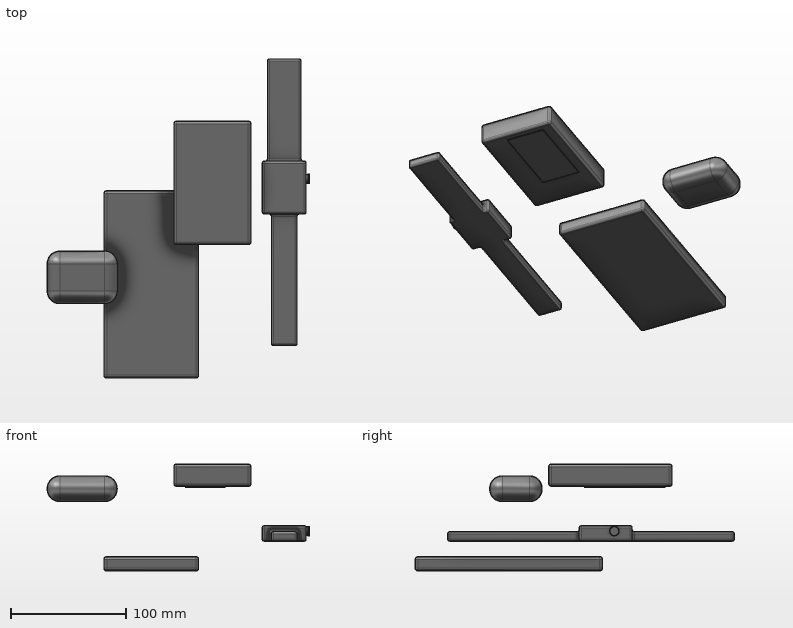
import cadquery as cq


slab_size = (82.5, 163.0, 12.5)
slab_corner = (49.5, 0, 0)

case_size = (67.2, 107.5, 19.5)
case_corner = (110.2, 116.0, 73.5)
pad_length_x = 34.7
pad_length_y = 70.2
pad_height = 0.8
pad_offset_x = 10.0
pad_offset_y = 31.0
block_edge_radius = 2.5

capsule_length_x = 61.0
capsule_length_y = 45.8
capsule_height = 22.5
capsule_front = 64.7
capsule_bottom = 60.2

watch_size = (38.3, 46.0, 13.5)
watch_corner = (187.0, 142.7, 25.8)
strap_height = 8.3
front_strap_width = 22.5
front_strap_end = 28.3
back_strap_width = 29.5
back_strap_end = 277.5
watch_edge_radius = 2.0
crown_y = 173.2
crown_z = 34.7
stem_radius = 4.0
crown_radius = 4.2
crown_thickness = 1.0
crown_end = 228.0


def block(size, corner):
    """Box whose left, front, bottom corner lies at the given point."""
    return cq.Workplane("XY").box(*size, centered=False).translate(corner)


def rounded_block(size, corner, radius):
    """Box with all of its edges rounded."""
    return block(size, corner).edges().fillet(radius)


def make_case():
    """Rounded block joined with the pad below it."""
    corner_x, corner_y, corner_z = case_corner
    pad = block(
        (pad_length_x, pad_length_y, pad_height),
        (corner_x + pad_offset_x, corner_y + pad_offset_y, corner_z - pad_height),
    )
    return rounded_block(case_size, case_corner, block_edge_radius).union(pad)


def make_capsule():
    """Two crossing round-edged prisms, with a sphere at each corner."""
    radius = capsule_height / 2
    core_x = capsule_length_x - capsule_height
    core_y = capsule_length_y - capsule_height
    along_y = cq.Workplane("XZ").slot2D(capsule_length_x, capsule_height).extrude(core_y / 2, both=True)
    along_x = cq.Workplane("YZ").slot2D(capsule_length_y, capsule_height).extrude(core_x / 2, both=True)
    corners = cq.Workplane("XY").rect(core_x, core_y, forConstruction=True).vertices().sphere(radius)
    center = (
        capsule_length_x / 2,
        capsule_front + capsule_length_y / 2,
        capsule_bottom + radius,
    )
    return along_y.union(along_x).union(corners).translate(center)


def make_strap(width, start_y, end_y):
    """Square-edged strap centred across the watch body and flush with its underside."""
    left = watch_corner[0] + (watch_size[0] - width) / 2
    return block((width, end_y - start_y, strap_height), (left, start_y, watch_corner[2]))


def crown_disc(radius, start_x, end_x):
    """Cylinder along X on the crown axis."""
    disc = cq.Workplane("YZ").circle(radius).extrude(end_x - start_x)
    return disc.translate((start_x, crown_y, crown_z))


def make_watch():
    """Body and straps rounded together, then the crown on the right side."""
    front = watch_corner[1]
    back = front + watch_size[1]
    right = watch_corner[0] + watch_size[0]
    watch = block(watch_size, watch_corner)
    watch = watch.union(make_strap(front_strap_width, front_strap_end, front))
    watch = watch.union(make_strap(back_strap_width, back, back_strap_end))
    watch = watch.edges().fillet(watch_edge_radius)
    crown_start = crown_end - crown_thickness
    watch = watch.union(crown_disc(stem_radius, right, crown_start))
    return watch.union(crown_disc(crown_radius, crown_start, crown_end))


slab = rounded_block(slab_size, slab_corner, block_edge_radius)
case = make_case()
capsule = make_capsule()
watch = make_watch()

result = cq.Compound.makeCompound([slab.val(), case.val(), capsule.val(), watch.val()])